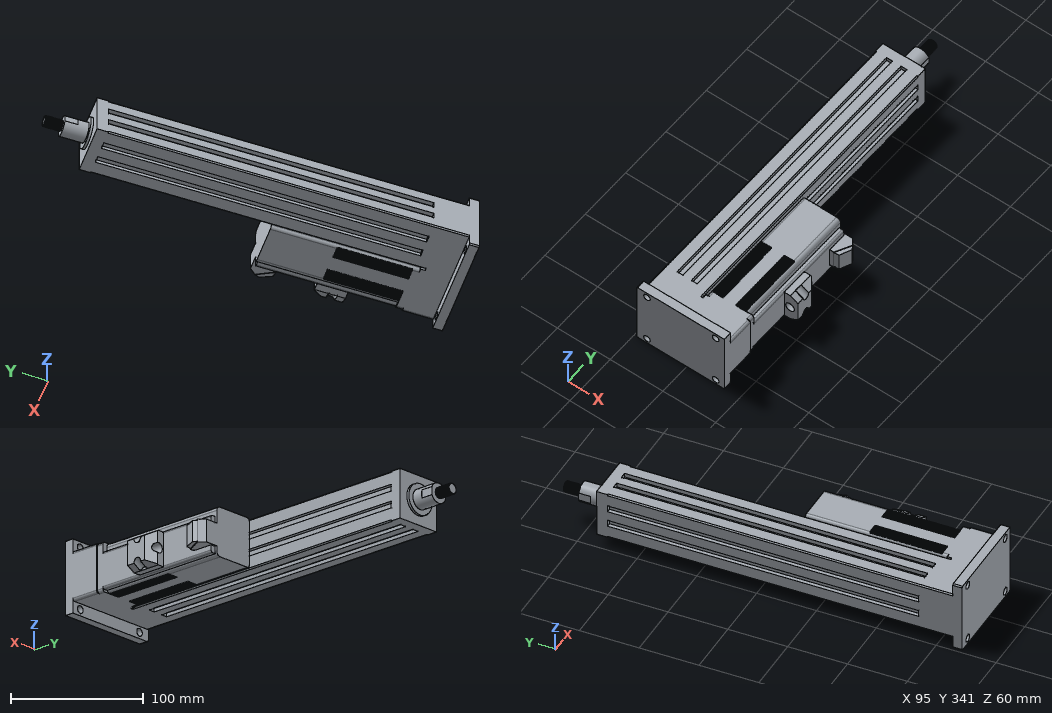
import cadquery as cq


total_length = 341.0
total_width = 95.0
body_size = 40.2
edge_chamfer = 1.0

plate_width = 83.2
plate_height = 60.0
plate_thickness = 8.0
plate_hole_diameter = 6.0
plate_hole_left = 10.0
plate_hole_right = 75.0
plate_hole_spacing_z = 49.8

housing_top = 32.5
adapter_start = 28.5
adapter_end = 36.5
head_start = 296.3
head_end = 305.5
housing_step_x = 41.3
housing_corner_radius = 2.0

slot_width = 5.5
slot_offset = 6.8
slot_depth = 3.5

axis_x = body_size / 2
collar_radius = 12.5
collar_end = 307.5
rod_radius = 8.2
rod_end = 326.7
flat_length = 10.2
flat_distance = 7.5
thread_radius = 4.5
thread_depth = 0.5
thread_count = 12

motor_size = 40.2
motor_left = 42.0
motor_right = motor_left + motor_size
case_right = 77.7
inner_corner_radius = 2.5
outer_corner_radius = 3.8
flange_end = 38.0
motor_end = 151.5
fins_end = 98.2
fin_pitch = 1.7
fin_groove_width = 0.85
fin_groove_depth = 1.0
fin_grooves = 6
fin_bank_starts = (43.5, 65.0)

strip_height = 30.0
strip_z = -3.0
strip_end = 149.7
strip_corner_radius = 1.7

power_start = 75.7
power_end = 100.5
power_height = 28.0
power_shoulder_x = 88.0
power_tip_height = 19.8
power_chamfer_x = 6.0
power_chamfer_y = 7.5
cable_hole_x = 87.5
cable_hole_diameter = 8.2
grip_y = 85.5
grip_radius = 3.5

signal_start = 132.0
signal_height = 18.5
signal_foot_x = 86.0
signal_nose_x = 93.5
signal_nose_y = 146.3
signal_top_x = 89.0
socket_height = 17.0
socket_upper = (total_width, 142.5)
socket_lower = (90.7, 132.5)


def block(x0, x1, y0, y1, z0, z1):
    """Box between opposite corners."""
    return cq.Workplane("XY").box(x1 - x0, y1 - y0, z1 - z0, centered=False).translate((x0, y0, z0))


def centred_block(x0, x1, y0, y1, height):
    """Box centred on Z = 0."""
    return block(x0, x1, y0, y1, -height / 2, height / 2)


def cylinder_along_y(x, z, y0, y1, radius):
    return cq.Workplane("XZ", origin=(x, y0, z)).circle(radius).extrude(y0 - y1)


def mounting_plate():
    plate = centred_block(0, plate_width, 0, plate_thickness, plate_height)
    plate = plate.edges("|Y and <X").chamfer(edge_chamfer)
    for x in (plate_hole_left, plate_hole_right):
        for z in (-plate_hole_spacing_z / 2, plate_hole_spacing_z / 2):
            plate = plate.cut(cylinder_along_y(x, z, 0, plate_thickness, plate_hole_diameter / 2))
    return plate


def belt_housing():
    housing = centred_block(0, plate_width, plate_thickness, adapter_start, body_size)
    raised = centred_block(housing_step_x, plate_width, plate_thickness, housing_top, body_size)
    housing = housing.union(raised)
    housing = housing.edges("|Y and >X").fillet(housing_corner_radius)
    return housing.edges("|Y and <X").chamfer(edge_chamfer)


def actuator_body():
    body = centred_block(0, body_size, adapter_start, head_start, body_size)
    body = body.edges("|Y").chamfer(edge_chamfer)
    for offset in (-slot_offset, slot_offset):
        for angle in range(0, 360, 90):
            slot = block(offset - slot_width / 2, offset + slot_width / 2, adapter_end, head_start,
                         body_size / 2 - slot_depth, body_size / 2)
            slot = slot.rotate((0, 0, 0), (0, 1, 0), angle).translate((axis_x, 0, 0))
            body = body.cut(slot)
    head = centred_block(0, body_size, head_start, head_end, body_size)
    return body.union(head)


def rod():
    collar = cylinder_along_y(axis_x, 0, head_end, collar_end, collar_radius)
    shaft = cylinder_along_y(axis_x, 0, collar_end, rod_end, rod_radius)
    flat_start = rod_end - flat_length
    for inner, outer in ((flat_distance, rod_radius), (-rod_radius, -flat_distance)):
        waste = centred_block(axis_x + inner, axis_x + outer, flat_start, rod_end, 2 * rod_radius)
        shaft = shaft.cut(waste)
    pitch = (total_length - rod_end) / thread_count
    points = [(0, rod_end)]
    for i in range(thread_count):
        y = rod_end + i * pitch
        points.append((thread_radius - thread_depth, y))
        points.append((thread_radius, y + pitch / 2))
    points.append((thread_radius - thread_depth, total_length))
    points.append((0, total_length))
    thread = cq.Workplane("XY").polyline(points).close().revolve(360, (0, 0), (0, 1))
    return collar.union(shaft).union(thread.translate((axis_x, 0, 0)))


def motor():
    flange = centred_block(motor_left, motor_right, housing_top, flange_end, motor_size)
    flange = flange.edges("|Y").fillet(inner_corner_radius)
    case = centred_block(motor_left, case_right, flange_end, motor_end, motor_size)
    case = case.edges("|Y and <X").fillet(inner_corner_radius)
    case = case.edges("|Y and >X").fillet(outer_corner_radius)
    for start in fin_bank_starts:
        for i in range(fin_grooves):
            x = start + i * fin_pitch
            groove = centred_block(x, x + fin_groove_width, flange_end, fins_end, 2 * fin_groove_depth)
            for side in (-1, 1):
                case = case.cut(groove.translate((0, 0, side * motor_size / 2)))
    strip = centred_block(case_right - outer_corner_radius, motor_right, flange_end, strip_end, strip_height)
    strip = strip.edges("|Y and >X").fillet(strip_corner_radius).translate((0, 0, strip_z))
    return flange.union(case).union(strip)


def power_connector():
    root = power_height / 2
    tip = power_tip_height / 2
    profile = [(case_right, -root), (power_shoulder_x, -root), (total_width, -tip),
               (total_width, tip), (power_shoulder_x, root), (case_right, root)]
    body = cq.Workplane("XZ", origin=(0, power_start, 0)).polyline(profile).close()
    body = body.extrude(power_start - power_end)
    corner = [(total_width, power_end), (total_width - power_chamfer_x, power_end),
              (total_width, power_end - power_chamfer_y)]
    body = body.cut(cq.Workplane("XY").polyline(corner).close().extrude(root, both=True))

    body = body.cut(cylinder_along_y(cable_hole_x, 0, power_start, power_end, cable_hole_diameter / 2))

    run = total_width - power_shoulder_x
    for side in (-1, 1):
        slope = cq.Vector(run, 0, side * (tip - root))
        start = cq.Vector(power_shoulder_x, grip_y, side * root)
        body = body.cut(cq.Workplane(cq.Solid.makeCylinder(grip_radius, 2 * slope.Length, start, slope)))
    return body.translate((0, 0, strip_z))


def signal_connector():
    root_x = case_right - outer_corner_radius
    nose = (signal_nose_x, signal_nose_y)
    foot = (signal_foot_x, signal_start)
    outline = [(root_x, motor_end), (signal_top_x, motor_end), nose, foot, (root_x, signal_start)]
    body = cq.Workplane("XY").polyline(outline).close().extrude(signal_height / 2, both=True)
    socket_outline = [nose, socket_upper, socket_lower, foot]
    socket = cq.Workplane("XY").polyline(socket_outline).close().extrude(socket_height / 2, both=True)
    return body.union(socket).translate((0, 0, strip_z))


result = (
    mounting_plate()
    .union(belt_housing())
    .union(actuator_body())
    .union(rod())
    .union(motor())
    .union(power_connector())
    .union(signal_connector())
)